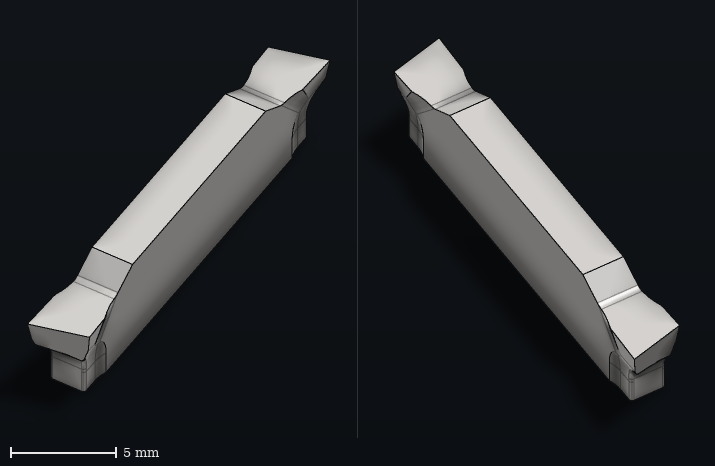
import cadquery as cq
import math

LENGTH = 22.75
HEAD_WIDTH = 3.0
HEIGHT = 5.2
BODY_WIDTH = 2.28
HALF_LENGTH = LENGTH / 2
HALF_HEAD = HEAD_WIDTH / 2
HALF_BODY = BODY_WIDTH / 2

RIDGE_HALF_LENGTH = 6.08
RIDGE_ANGLE = math.radians(30)
RIDGE_BLEND_RADIUS = 0.75
HEAD_TOP = 4.32

EDGE_SETBACK = 0.77
FRONT_RELIEF = math.radians(7)
FLANK_RELIEF = math.radians(7)
FLANK_TAPER = math.radians(2)
FLANK_DEPTH = 1.82
FLANK_LENGTH = 3.87

STEM_HALF_LENGTH = 10.2
STEM_HALF_WIDTH = 0.98
STEM_FRONT_HEIGHT = 1.5
STEM_FRONT_RADIUS = 1.45
STEM_SIDE_HEIGHT = 1.3
NECK_RADIUS = 5.0
STEM_SIDE_START = 9.25
STEM_BLEND_RADIUS = 1.85
STEM_CORNER_RADIUS = 0.18

BLEND_START = 7.53
BLEND_ANGLE = math.radians(49)
BLEND_RADIUS = 2.28

CLEARANCE = 6.83


def make_half_blank():
    """Half-length side outline, across the full head width."""
    ridge_end = RIDGE_HALF_LENGTH + (HEIGHT - HEAD_TOP) / math.tan(RIDGE_ANGLE)
    arc_angle = math.acos(1 - (HALF_LENGTH - STEM_HALF_LENGTH) / STEM_FRONT_RADIUS)

    def on_front_arc(angle):
        return (
            STEM_HALF_LENGTH + STEM_FRONT_RADIUS * (1 - math.cos(angle)),
            STEM_FRONT_HEIGHT + STEM_FRONT_RADIUS * math.sin(angle),
        )

    blank = (
        cq.Workplane("YZ")
        .moveTo(0, 0)
        .lineTo(STEM_HALF_LENGTH, 0)
        .lineTo(STEM_HALF_LENGTH, STEM_FRONT_HEIGHT)
        .threePointArc(on_front_arc(arc_angle / 2), on_front_arc(arc_angle))
        .lineTo(HALF_LENGTH, HEAD_TOP)
        .lineTo(ridge_end, HEAD_TOP)
        .lineTo(RIDGE_HALF_LENGTH, HEIGHT)
        .lineTo(0, HEIGHT)
        .close()
        .extrude(HALF_HEAD, both=True)
    )
    ridge_foot = cq.selectors.NearestToPointSelector((0, ridge_end, HEAD_TOP))
    return blank.edges("|X").edges(ridge_foot).fillet(RIDGE_BLEND_RADIUS)


def make_neck_cutter():
    """+X waste beside the stem, curving outward into the head and the body."""
    diagonal = STEM_BLEND_RADIUS * math.sqrt(0.5)
    blend_center_x = STEM_HALF_WIDTH + STEM_BLEND_RADIUS
    axis_x = STEM_HALF_WIDTH + NECK_RADIUS
    plan = (
        cq.Workplane("XY", origin=(0, 0, STEM_SIDE_HEIGHT))
        .moveTo(STEM_HALF_WIDTH, HALF_LENGTH + CLEARANCE)
        .lineTo(STEM_HALF_WIDTH, STEM_SIDE_START)
        .threePointArc(
            (blend_center_x - diagonal, STEM_SIDE_START - diagonal),
            (blend_center_x, STEM_SIDE_START - STEM_BLEND_RADIUS),
        )
        .lineTo(axis_x, STEM_SIDE_START - STEM_BLEND_RADIUS)
        .lineTo(axis_x, HALF_LENGTH + CLEARANCE)
        .close()
    )
    upper = plan.revolve(90, (axis_x, 0, 0), (axis_x, 1, 0))
    lower = plan.toPending().extrude(-STEM_SIDE_HEIGHT)
    return upper.union(lower)


def make_body_side_cutter():
    """+X waste beside the body, ending in a slanting round tangent to its side."""
    across = (0, math.sin(BLEND_ANGLE), math.cos(BLEND_ANGLE))
    along = (0, math.cos(BLEND_ANGLE), -math.sin(BLEND_ANGLE))
    plane = cq.Plane(origin=(HALF_BODY, BLEND_START, HEAD_TOP), xDir=across, normal=along)
    diagonal = BLEND_RADIUS * math.sqrt(0.5)
    return (
        cq.Workplane(plane)
        .moveTo(-2 * CLEARANCE, 0)
        .lineTo(0, 0)
        .threePointArc((diagonal, BLEND_RADIUS - diagonal), (BLEND_RADIUS, BLEND_RADIUS))
        .lineTo(-2 * CLEARANCE, BLEND_RADIUS)
        .close()
        .extrude(2 * CLEARANCE, both=True)
    )


def make_flank_cutter(corner_y):
    """+X waste outside the relieved head flank, which starts at the given corner."""
    normal = cq.Vector(1, -math.tan(FLANK_TAPER), -math.tan(FLANK_RELIEF))
    plane = cq.Plane(origin=(HALF_HEAD, corner_y, HEAD_TOP), xDir=(0, 0, 1), normal=normal)
    return cq.Workplane(plane).rect(2 * FLANK_DEPTH, 2 * FLANK_LENGTH).extrude(CLEARANCE)


def make_front_cutter():
    """Waste ahead of the skewed, relieved front face."""
    normal = cq.Vector(-EDGE_SETBACK / HEAD_WIDTH, 1, -math.tan(FRONT_RELIEF))
    plane = cq.Plane(origin=(HALF_HEAD, HALF_LENGTH, HEAD_TOP), xDir=(1, 0, 0), normal=normal)
    return cq.Workplane(plane).rect(4 * CLEARANCE, 4 * CLEARANCE).extrude(CLEARANCE)


def cut_both_sides(half, cutter):
    return half.cut(cutter).cut(cutter.mirror("YZ"))


def make_half():
    half = cut_both_sides(make_half_blank(), make_neck_cutter())
    for side in (-1, 1):
        corner = (side * STEM_HALF_WIDTH, STEM_HALF_LENGTH, STEM_SIDE_HEIGHT / 2)
        half = half.edges(cq.selectors.NearestToPointSelector(corner)).fillet(STEM_CORNER_RADIUS)
    half = half.cut(make_flank_cutter(HALF_LENGTH))
    half = half.cut(make_flank_cutter(HALF_LENGTH - EDGE_SETBACK).mirror("YZ"))
    half = cut_both_sides(half, make_body_side_cutter())
    return half.cut(make_front_cutter())


half_insert = make_half()
result = half_insert.union(half_insert.rotate((0, 0, 0), (0, 0, 1), 180)).clean()